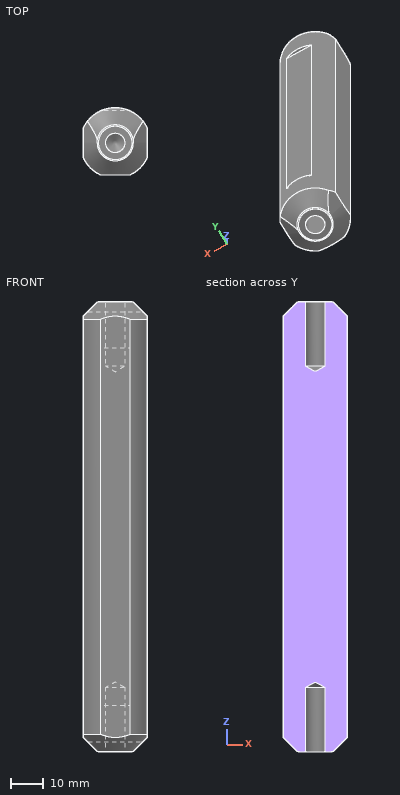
import cadquery as cq
import math

length = 140.0
body_radius = 11.0
flat_distance = 10.0
end_face_radius = 5.5
back_chamfer_angle = 30.0
back_flat_margin = 14.5

pad_radius = 5.2
pad_height = 0.1

hole_diameter = 6.01
hole_depth = 20.0
drill_tip_angle = 118.0

steep_drop = body_radius - end_face_radius
shallow_drop = steep_drop * math.tan(math.radians(back_chamfer_angle))
hole_radius = hole_diameter / 2
drill_tip_height = hole_radius / math.tan(math.radians(drill_tip_angle / 2))


def half_envelope(direction):
    """Box that covers the -Y (direction -1) or +Y (direction 1) half of the bar."""
    return cq.Workplane("XY").box(
        2 * body_radius, body_radius, length, centered=(True, False, False)
    ).translate((0, 0 if direction > 0 else -body_radius, 0))


def chamfer_outline(drop):
    """Right half of the bar's lengthwise section in XZ, with both ends chamfered."""
    return (
        cq.Workplane("XZ")
        .lineTo(end_face_radius, 0)
        .lineTo(body_radius, drop)
        .lineTo(body_radius, length - drop)
        .lineTo(end_face_radius, length)
        .lineTo(0, length)
        .close()
    )


def turned_bar(drop):
    """Round bar with conical ends."""
    return chamfer_outline(drop).revolve(360, (0, 0, 0), (0, 1, 0))


def side_beveled_block():
    """Block whose +X and -X sides have planar 45 degree bevels at both ends."""
    right_half = chamfer_outline(steep_drop).extrude(body_radius, both=True)
    return right_half.union(right_half.mirror("YZ"))


def end_chamfered_bar():
    """Steep cones on the -Y half; shallow cones and side bevels on the +Y half."""
    front = turned_bar(steep_drop).intersect(half_envelope(-1))
    back = turned_bar(shallow_drop).intersect(side_beveled_block()).intersect(half_envelope(1))
    return front.union(back)


def long_flats():
    """Envelope that makes the full-length flats on +X, -X and -Y."""
    return cq.Workplane("XY").box(
        2 * flat_distance, flat_distance + body_radius, length, centered=(True, False, False)
    ).translate((0, -flat_distance, 0))


def back_flat_cut():
    """Material removed for the +Y flat, which stops short of both ends."""
    return cq.Workplane("XY").box(
        2 * body_radius, body_radius, length - 2 * back_flat_margin, centered=(True, False, False)
    ).translate((0, flat_distance, back_flat_margin))


def pad_surround_cut(base_z):
    """Thin ring removed around an end pad, starting at height base_z."""
    return (
        cq.Workplane("XY", origin=(0, 0, base_z))
        .circle(body_radius)
        .circle(pad_radius)
        .extrude(pad_height)
    )


def bottom_hole():
    """Drilled hole with a conical tip, opening at Z = 0."""
    return (
        cq.Workplane("XZ")
        .lineTo(hole_radius, 0)
        .lineTo(hole_radius, hole_depth)
        .lineTo(0, hole_depth + drill_tip_height)
        .close()
        .revolve(360, (0, 0, 0), (0, 1, 0))
    )


def top_hole():
    """The same hole, opening at the top end."""
    return bottom_hole().mirror("XY").translate((0, 0, length))


result = (
    end_chamfered_bar()
    .intersect(long_flats())
    .cut(back_flat_cut())
    .cut(pad_surround_cut(0))
    .cut(pad_surround_cut(length - pad_height))
    .cut(bottom_hole())
    .cut(top_hole())
)